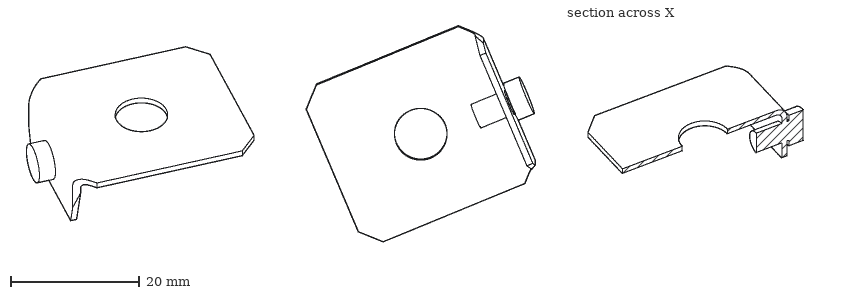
import cadquery as cq
import math

width = 27.0
depth = 30.0
height = 10.0
thickness = 1.0
inner_bend_radius = 1.0
outer_bend_radius = inner_bend_radius + thickness
corner_chamfer = 3.0
hole_diameter = 8.2

tab_tip_width = 19.0
taper_start_depth = 3.0

pin_depth = height / 2
shank_diameter = 4.0
shank_back_y = 5.65
head_diameter = 6.25
head_length = 2.65
head_gap = 0.3


def bent_sheet():
    """L-shaped strip with a rounded bend, top face on Z = 0."""
    outer_mid = outer_bend_radius * (1 - math.sqrt(0.5))
    inner_mid = thickness + inner_bend_radius * (1 - math.sqrt(0.5))
    profile = (
        cq.Workplane("YZ")
        .moveTo(depth, 0)
        .lineTo(outer_bend_radius, 0)
        .threePointArc((outer_mid, -outer_mid), (0, -outer_bend_radius))
        .lineTo(0, -height)
        .lineTo(thickness, -height)
        .lineTo(thickness, -outer_bend_radius)
        .threePointArc((inner_mid, -inner_mid), (outer_bend_radius, -thickness))
        .lineTo(depth, -thickness)
        .close()
    )
    return profile.extrude(width / 2, both=True)


def plan_outline():
    """Rectangle with chamfered corners that trims the sheet from above."""
    return (
        cq.Workplane("XY")
        .box(width, depth, height, centered=(True, False, False))
        .translate((0, 0, -height))
        .edges("|Z")
        .chamfer(corner_chamfer)
    )


def tab_outline():
    """Full-width upper band with a trapezoid below it that narrows to the tab tip."""
    taper_top_half = width / 2 - corner_chamfer + thickness
    half_width = width / 2
    right_side = [
        (half_width, 0),
        (half_width, -taper_start_depth),
        (taper_top_half, -taper_start_depth),
        (tab_tip_width / 2, -height),
    ]
    left_side = [(-x, z) for x, z in reversed(right_side)]
    return (
        cq.Workplane("XZ")
        .polyline(right_side + left_side)
        .close()
        .extrude(-depth)
    )


def plate_hole():
    """Cutter for the round hole in the middle of the plate."""
    return (
        cq.Workplane("XY")
        .center(0, depth / 2)
        .circle(hole_diameter / 2)
        .extrude(-thickness)
    )


def cylinder_along_y(diameter, front_y, back_y):
    """Cylinder on the pin axis between two Y positions."""
    return (
        cq.Workplane("XZ", origin=(0, front_y, -pin_depth))
        .circle(diameter / 2)
        .extrude(front_y - back_y)
    )


def headed_pin():
    """Shank through the tab with a larger head held just clear of its outer face."""
    head_back_y = -head_gap
    head_front_y = head_back_y - head_length
    head = cylinder_along_y(head_diameter, head_front_y, head_back_y)
    shank = cylinder_along_y(shank_diameter, head_back_y, shank_back_y)
    return head.union(shank)


bracket = bent_sheet().intersect(plan_outline()).intersect(tab_outline()).cut(plate_hole())
result = bracket.union(headed_pin())